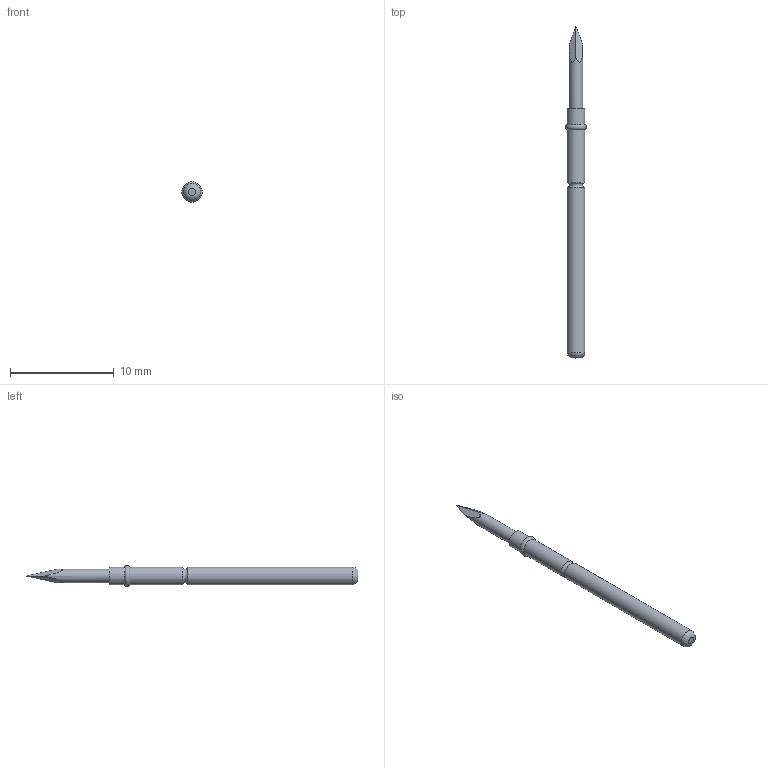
import cadquery as cq

TOTAL_LENGTH = 32.0

BARREL_RADIUS = 0.85
FOOT_FILLET = 0.5
SHOULDER_Y = TOTAL_LENGTH - 8.0

RING_RADIUS = 1.0
RING_WIDTH = 0.5
RING_START_Y = TOTAL_LENGTH - 10.0
RING_END_Y = RING_START_Y + RING_WIDTH

GROOVE_ROOT_RADIUS = 0.65
GROOVE_WIDTH = 0.5
GROOVE_START_Y = TOTAL_LENGTH - 15.6
GROOVE_END_Y = GROOVE_START_Y + GROOVE_WIDTH

NEEDLE_RADIUS = 0.65
SIDE_RIDGE_LENGTH = 1.8
TOP_RIDGE_LENGTH = 3.0


def make_turned_body():
    """Barrel with a rounded foot, groove, ring and blunt needle, revolved about the Y axis."""
    groove_root = (GROOVE_ROOT_RADIUS, GROOVE_START_Y + GROOVE_WIDTH / 2)
    ring_crest = (RING_RADIUS, RING_START_Y + RING_WIDTH / 2)
    profile = (
        cq.Workplane("XY")
        .lineTo(BARREL_RADIUS, 0)
        .lineTo(BARREL_RADIUS, GROOVE_START_Y)
        .threePointArc(groove_root, (BARREL_RADIUS, GROOVE_END_Y))
        .lineTo(BARREL_RADIUS, RING_START_Y)
        .threePointArc(ring_crest, (BARREL_RADIUS, RING_END_Y))
        .lineTo(BARREL_RADIUS, SHOULDER_Y)
        .lineTo(NEEDLE_RADIUS, SHOULDER_Y)
        .lineTo(NEEDLE_RADIUS, TOTAL_LENGTH)
        .lineTo(0, TOTAL_LENGTH)
        .close()
    )
    body = profile.revolve(360, (0, 0, 0), (0, 1, 0))
    return body.faces("<Y").edges().fillet(FOOT_FILLET)


def make_point_envelope():
    """Rhombic pyramid with its apex at the needle point and its base at the foot."""
    half_width = NEEDLE_RADIUS * TOTAL_LENGTH / SIDE_RIDGE_LENGTH
    half_height = NEEDLE_RADIUS * TOTAL_LENGTH / TOP_RIDGE_LENGTH
    apex = cq.Vector(0, TOTAL_LENGTH, 0)
    corners = [
        cq.Vector(half_width, 0, 0),
        cq.Vector(0, 0, half_height),
        cq.Vector(-half_width, 0, 0),
        cq.Vector(0, 0, -half_height),
    ]
    faces = [cq.Face.makeFromWires(cq.Wire.makePolygon(corners, close=True))]
    for start, end in zip(corners, corners[1:] + corners[:1]):
        faces.append(cq.Face.makeFromWires(cq.Wire.makePolygon([start, end, apex], close=True)))
    return cq.Workplane(obj=cq.Solid.makeSolid(cq.Shell.makeShell(faces)))


result = make_turned_body().intersect(make_point_envelope()).solids()